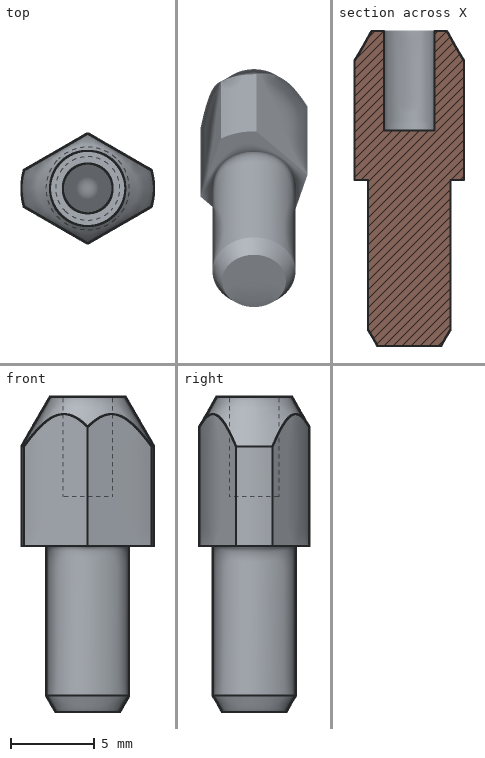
import cadquery as cq
import math

head_diameter = 8.0
head_height = 9.0
across_flats = 5.75
flat_angle = 30.0
cone_height = 3.0
cone_half_angle = 30.0
shank_diameter = 5.0
shank_length = 10.0
tip_chamfer_height = 1.0
tip_half_angle = 30.0
bore_diameter = 3.0
bore_depth = 6.0

head_radius = head_diameter / 2
shank_radius = shank_diameter / 2
head_top_radius = head_radius - cone_height * math.tan(math.radians(cone_half_angle))
tip_radius = shank_radius - tip_chamfer_height * math.tan(math.radians(tip_half_angle))
rhombus_half_y = across_flats / 2 / math.cos(math.radians(flat_angle))
rhombus_half_x = across_flats / 2 / math.sin(math.radians(flat_angle))


def make_head():
    """Cone-topped round head cut to four flats by a rhombic prism."""
    round_head = (
        cq.Workplane("XZ")
        .polyline([
            (0, 0),
            (head_radius, 0),
            (head_radius, head_height - cone_height),
            (head_top_radius, head_height),
            (0, head_height),
        ])
        .close()
        .revolve(360, (0, 0, 0), (0, 1, 0))
    )
    rhombic_prism = (
        cq.Workplane("XY")
        .polyline([
            (rhombus_half_x, 0),
            (0, rhombus_half_y),
            (-rhombus_half_x, 0),
            (0, -rhombus_half_y),
        ])
        .close()
        .extrude(head_height)
    )
    return round_head.intersect(rhombic_prism)


def make_shank():
    """Round shank below the shoulder, with a conical lead-in at its tip."""
    return (
        cq.Workplane("XZ")
        .polyline([
            (0, 0),
            (shank_radius, 0),
            (shank_radius, tip_chamfer_height - shank_length),
            (tip_radius, -shank_length),
            (0, -shank_length),
        ])
        .close()
        .revolve(360, (0, 0, 0), (0, 1, 0))
    )


def make_bore():
    """Flat-bottomed blind bore entering from the top of the head."""
    return (
        cq.Workplane("XY")
        .workplane(offset=head_height - bore_depth)
        .circle(bore_diameter / 2)
        .extrude(bore_depth)
    )


result = make_head().union(make_shank()).cut(make_bore())